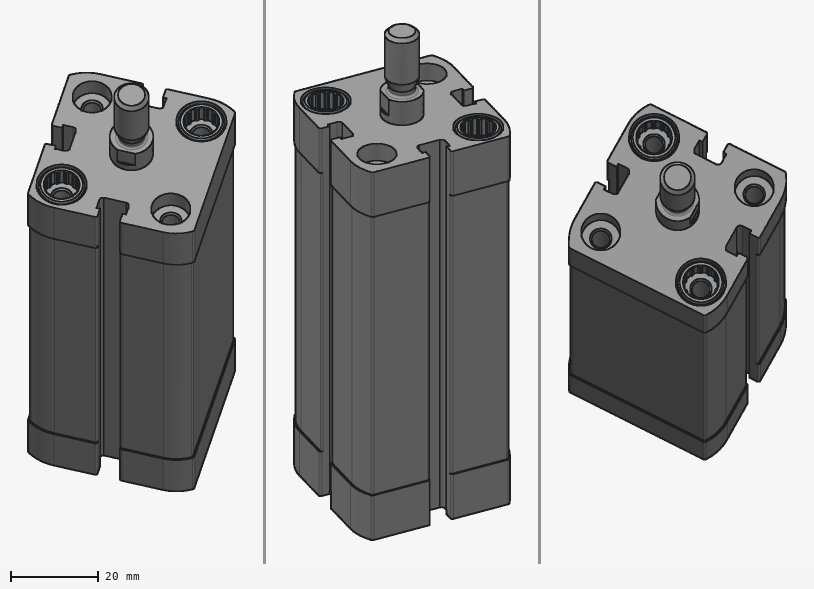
import cadquery as cq
import math

total_height = 121.3
housing_height = 99.0
cap_height = 12.0
cap_width = 39.5
tube_width = 38.8

flat_half_width = 13.0
cap_corner_radius = 11.5
edge_blend_radius = 0.7

slot_mouth_width = 5.3
slot_inner_width = 7.0
slot_depth = 5.8
slot_lip = 2.5
slot_mouth_round = 0.5
slot_inner_round = 1.0
slot_angles = (90, 180, 270)

hole_offset = 13.0
core_diameter = 4.1
core_mouth_diameter = 5.0
counterbore_diameter = 9.0
counterbore_depth = 4.6

ring_gap_diameter = 11.5
ring_gap_depth = counterbore_depth
head_diameter = 10.5
head_top_diameter = 9.7
socket_mouth_diameter = 8.2
socket_diameter = 7.5
socket_depth = counterbore_depth
lobe_count = 12
lobe_tip_diameter = 8.0
lobe_flank_offset = 3.2

collar_diameter = 10.0
collar_height = 6.3
flat_spacing = 9.0
flat_height = 4.4
neck_diameter = 6.2
neck_height = 1.5
neck_fillet = 0.6
run_out_height = 2.5
thread_diameter = 8.0
rod_insertion = cap_height

collar_top = housing_height + collar_height


def profile_prism(width, height):
    """Square bar on the Z axis whose Y faces curve round towards the X faces."""
    half = width / 2
    arc_centre_y = cap_width / 2 - cap_corner_radius
    radius = half - arc_centre_y
    corner_y = arc_centre_y + math.sqrt(radius**2 - (half - flat_half_width) ** 2)
    half_angle = math.asin((half - flat_half_width) / radius) / 2
    mid_x = flat_half_width + radius * math.sin(half_angle)
    mid_y = arc_centre_y + radius * math.cos(half_angle)
    return (
        cq.Workplane("XY")
        .moveTo(-flat_half_width, half)
        .lineTo(flat_half_width, half)
        .threePointArc((mid_x, mid_y), (half, corner_y))
        .lineTo(half, -corner_y)
        .threePointArc((mid_x, -mid_y), (flat_half_width, -half))
        .lineTo(-flat_half_width, -half)
        .threePointArc((-mid_x, -mid_y), (-half, -corner_y))
        .lineTo(-half, corner_y)
        .threePointArc((-mid_x, mid_y), (-flat_half_width, half))
        .close()
        .extrude(height)
        .edges("|Z")
        .edges(">X or <X")
        .fillet(edge_blend_radius)
    )


def t_slot(width):
    """Full-height T-slot cutter opening on the +X face of a bar of this width."""
    mouth_x = width / 2
    floor_x = cap_width / 2 - slot_depth
    lip_x = cap_width / 2 - slot_lip
    inner = (
        cq.Workplane("XY")
        .rect(lip_x - floor_x, slot_inner_width)
        .extrude(housing_height)
        .edges("|Z and <X")
        .fillet(slot_inner_round)
        .translate(((lip_x + floor_x) / 2, 0, 0))
    )
    half_mouth = slot_mouth_width / 2
    flare = half_mouth + slot_mouth_round
    bend = slot_mouth_round * (1 - math.sqrt(0.5))
    mouth = (
        cq.Workplane("XY")
        .moveTo(floor_x, -half_mouth)
        .lineTo(mouth_x - slot_mouth_round, -half_mouth)
        .threePointArc((mouth_x - bend, -half_mouth - bend), (mouth_x, -flare))
        .lineTo(mouth_x, flare)
        .threePointArc((mouth_x - bend, half_mouth + bend), (mouth_x - slot_mouth_round, half_mouth))
        .lineTo(floor_x, half_mouth)
        .close()
        .extrude(housing_height)
    )
    return inner.union(mouth)


def slotted_section(width, base_z, height):
    """One length of the housing with its T-slots."""
    section = profile_prism(width, height)
    for angle in slot_angles:
        section = section.cut(t_slot(width).rotate((0, 0, 0), (0, 0, 1), angle))
    return section.translate((0, 0, base_z))


def revolved(points):
    """Turn a half outline of (radius, height) points about Z."""
    return cq.Workplane("XZ").polyline(points).close().revolve(360, (0, 0), (0, 1))


def core_points(mouth_z):
    """Outline of a through hole with a chamfered mouth at this height."""
    core = core_diameter / 2
    mouth = core_mouth_diameter / 2
    return [(0, 0), (core, 0), (core, mouth_z - (mouth - core)), (mouth, mouth_z)]


def counterbored_hole():
    """Plain through hole with a counterbore at the top face."""
    floor_z = housing_height - counterbore_depth
    radius = counterbore_diameter / 2
    return revolved(
        core_points(floor_z) + [(radius, floor_z), (radius, housing_height), (0, housing_height)]
    )


def socket_lobes():
    """Ring of square-cornered lobes that widen the screw socket, corners cut to a circle."""
    tip_radius = lobe_tip_diameter / 2
    floor_z = housing_height - socket_depth
    centre = lobe_flank_offset - tip_radius / 2
    tip_cylinder = cq.Workplane("XY").circle(tip_radius).extrude(socket_depth)
    lobe = (
        cq.Workplane("XY")
        .center(centre, centre)
        .rect(tip_radius, tip_radius)
        .extrude(socket_depth)
        .intersect(tip_cylinder)
        .translate((0, 0, floor_z))
    )
    lobes = lobe
    for index in range(1, lobe_count):
        lobes = lobes.union(lobe.rotate((0, 0, 0), (0, 0, 1), index * 360 / lobe_count))
    return lobes


def screw_recess():
    """Everything cut away around and inside a hollow screw head."""
    floor_z = housing_height - socket_depth
    socket = socket_diameter / 2
    mouth = socket_mouth_diameter / 2
    inside = revolved(
        core_points(floor_z)
        + [
            (socket, floor_z),
            (socket, housing_height - (mouth - socket)),
            (mouth, housing_height),
            (0, housing_height),
        ]
    )
    gap_z = housing_height - ring_gap_depth
    head = head_diameter / 2
    head_top = head_top_diameter / 2
    gap = ring_gap_diameter / 2
    around = revolved(
        [
            (head, gap_z),
            (gap, gap_z),
            (gap, housing_height),
            (head_top, housing_height),
            (head, housing_height - (head - head_top)),
        ]
    )
    return inside.union(socket_lobes()).union(around)


def make_housing():
    """Tube between two end caps, with screws and counterbored holes at opposite corners."""
    tube_height = housing_height - 2 * cap_height
    housing = slotted_section(cap_width, 0, cap_height)
    housing = housing.union(slotted_section(tube_width, cap_height, tube_height))
    housing = housing.union(slotted_section(cap_width, housing_height - cap_height, cap_height))
    for side in (-1, 1):
        hole_x = side * hole_offset
        housing = housing.cut(screw_recess().translate((hole_x, hole_x, 0)))
        housing = housing.cut(counterbored_hole().translate((hole_x, -hole_x, 0)))
    rod_bore = (
        cq.Workplane("XY")
        .workplane(offset=housing_height - rod_insertion)
        .circle(collar_diameter / 2)
        .extrude(rod_insertion)
    )
    return housing.cut(rod_bore)


def make_rod():
    """Piston rod end: collar with spanner flats, filleted neck and thread cylinder."""
    collar = collar_diameter / 2
    neck = neck_diameter / 2
    thread = thread_diameter / 2
    base_z = housing_height - rod_insertion
    neck_top = collar_top + neck_height
    bend = neck_fillet * (1 - math.sqrt(0.5))
    rod = (
        cq.Workplane("XZ")
        .moveTo(0, base_z)
        .lineTo(collar, base_z)
        .lineTo(collar, collar_top)
        .lineTo(neck + neck_fillet, collar_top)
        .threePointArc((neck + bend, collar_top + bend), (neck, collar_top + neck_fillet))
        .lineTo(neck, neck_top)
        .lineTo(thread, neck_top + run_out_height)
        .lineTo(thread, total_height - (thread - neck))
        .lineTo(neck, total_height)
        .lineTo(0, total_height)
        .close()
        .revolve(360, (0, 0), (0, 1))
    )
    for side in (-1, 1):
        flat_y = side * (flat_spacing + collar_diameter) / 2
        flat_z = collar_top - flat_height / 2
        flat_cutter = cq.Workplane("XY").box(collar_diameter, collar_diameter, flat_height)
        rod = rod.cut(flat_cutter.translate((0, flat_y, flat_z)))
    return rod


housing = make_housing()
rod = make_rod()

result = cq.Compound.makeCompound([housing.val(), rod.val()])